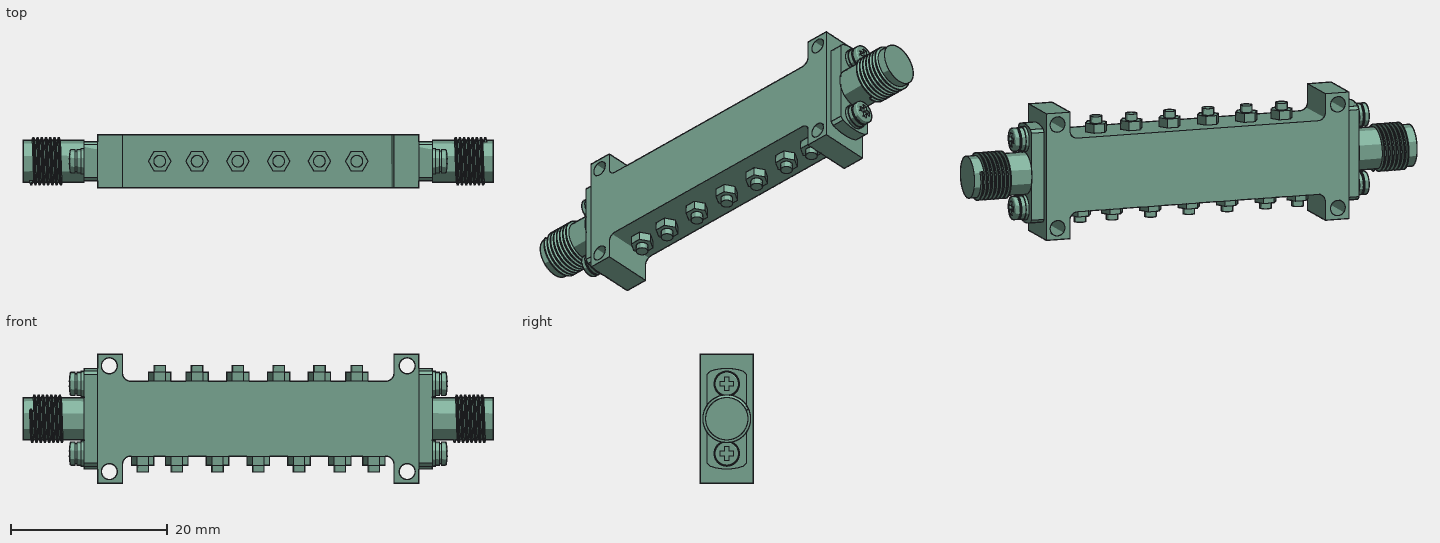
import cadquery as cq
import math


overall_length = 60.0
housing_length = 41.0
housing_depth = 6.8
ear_height = 16.5
ear_length = 3.2
waist_height = 9.6
ear_fillet = 1.0
mounting_hole_diameter = 2.0
mounting_hole_edge = 1.5

tuning_pitch = 5.2
tuning_end_pitch = 4.35
nut_across_flats = 2.5
nut_height = 1.15
tuning_screw_diameter = 1.5
tuning_screw_height = 2.0

flange_thickness = 1.7
flange_width = 5.0
flange_end_radius = 6.42
flange_corner_cut = 0.4
barrel_radius = 2.7
barrel_length = (overall_length - housing_length) / 2 - flange_thickness
thread_radius = 3.05
thread_pitch = 0.54
thread_length = 3.95
thread_end_distance = 1.0
thread_root_width = 0.45
thread_crest_width = 0.12
thread_embed = 0.1

flange_screw_offset = 4.45
washer_radius = 1.62
washer_thickness = 0.4
spring_washer_radius = 1.5
spring_washer_thickness = 0.55
washer_gap_radius = 1.3
washer_gap = 0.2
head_radius = 1.5
head_height = 0.65
head_edge_radius = 0.2
head_dome = 0.13
recess_length = 1.75
recess_width = 0.6
recess_depth = 0.5

housing_end = housing_length / 2
waist_top = waist_height / 2
flange_face = housing_end + flange_thickness
hole_x = housing_end - mounting_hole_edge
hole_z = ear_height / 2 - mounting_hole_edge

bottom_outer = [tuning_pitch, 2 * tuning_pitch, 2 * tuning_pitch + tuning_end_pitch]
bottom_positions = [-x for x in reversed(bottom_outer)] + [0.0] + bottom_outer
top_positions = [(a + b) / 2 for a, b in zip(bottom_positions, bottom_positions[1:])]


def half_turn(body):
    """Carry a body from the +X end to the -X end."""
    return body.rotate((0, 0, 0), (0, 0, 1), 180)


def make_tuning_screw():
    """Hexagonal lock nut with the screw end standing out of it, pointing up from Z = 0."""
    nut_across_corners = nut_across_flats / math.cos(math.pi / 6)
    nut = cq.Workplane("XY").polygon(6, nut_across_corners).extrude(nut_height)
    screw_end = cq.Workplane("XY").circle(tuning_screw_diameter / 2).extrude(tuning_screw_height)
    return nut.union(screw_end)


def make_housing():
    """I-shaped block with four mounting holes and two rows of tuning screws."""
    block = cq.Workplane("XY").box(housing_length, housing_depth, ear_height)
    relief_length = housing_length - 2 * ear_length
    relief_height = (ear_height - waist_height) / 2
    for side in (1, -1):
        relief = (
            cq.Workplane("XY")
            .box(relief_length, housing_depth, 2 * relief_height)
            .edges("|Y")
            .fillet(ear_fillet)
            .translate((0, 0, side * (waist_top + relief_height)))
        )
        block = block.cut(relief)

    holes = (
        cq.Workplane("XZ")
        .rect(2 * hole_x, 2 * hole_z, forConstruction=True)
        .vertices()
        .circle(mounting_hole_diameter / 2)
        .extrude(housing_depth / 2, both=True)
    )
    block = block.cut(holes)

    tuning_screw = make_tuning_screw().translate((0, 0, waist_top))
    hanging_screw = tuning_screw.rotate((0, 0, 0), (1, 0, 0), 180)
    for x in top_positions:
        block = block.union(tuning_screw.translate((x, 0, 0)))
    for x in bottom_positions:
        block = block.union(hanging_screw.translate((x, 0, 0)))
    return block


def make_thread():
    """Helical ridge around the Z axis, rising from Z = 0 and rooted inside the barrel."""
    root_radius = barrel_radius - thread_embed
    path = cq.Wire.makeHelix(thread_pitch, thread_length, root_radius)
    ridge = (
        cq.Workplane("XZ")
        .moveTo(root_radius, -thread_root_width / 2)
        .lineTo(thread_radius, -thread_crest_width / 2)
        .lineTo(thread_radius, thread_crest_width / 2)
        .lineTo(root_radius, thread_root_width / 2)
        .close()
    )
    return ridge.sweep(cq.Workplane(obj=path), isFrenet=True)


def make_connector():
    """Flange with arched ends and cut corners, and a threaded barrel, on the +X end of the housing."""
    half_width = flange_width / 2
    arc_end_y = half_width - flange_corner_cut
    arc_end_z = math.sqrt(flange_end_radius**2 - arc_end_y**2)
    side_end_z = arc_end_z - flange_corner_cut
    flange = (
        cq.Workplane("YZ")
        .workplane(offset=housing_end)
        .moveTo(half_width, -side_end_z)
        .lineTo(half_width, side_end_z)
        .lineTo(arc_end_y, arc_end_z)
        .threePointArc((0, flange_end_radius), (-arc_end_y, arc_end_z))
        .lineTo(-half_width, side_end_z)
        .lineTo(-half_width, -side_end_z)
        .lineTo(-arc_end_y, -arc_end_z)
        .threePointArc((0, -flange_end_radius), (arc_end_y, -arc_end_z))
        .close()
        .extrude(flange_thickness)
    )
    barrel = (
        cq.Workplane("YZ")
        .workplane(offset=flange_face)
        .circle(barrel_radius)
        .extrude(barrel_length)
    )
    thread_start = overall_length / 2 - thread_end_distance - thread_length
    thread = (
        make_thread()
        .rotate((0, 0, 0), (0, 1, 0), 90)
        .translate((thread_start, 0, 0))
    )
    return flange.union(barrel).union(thread)


def make_flange_screw():
    """Cross-recessed domed head with flat and spring washers, on the +X flange at Z = 0."""
    spring_start = washer_thickness
    spring_end = spring_start + spring_washer_thickness
    head_start = spring_end + washer_gap
    head_end = head_start + head_height
    profile = (
        cq.Workplane("XY")
        .moveTo(0, 0)
        .lineTo(0, washer_radius)
        .lineTo(spring_start, washer_radius)
        .lineTo(spring_start, spring_washer_radius)
        .lineTo(spring_end, spring_washer_radius)
        .lineTo(spring_end, washer_gap_radius)
        .lineTo(head_start, washer_gap_radius)
        .lineTo(head_start, head_radius)
        .lineTo(head_end - head_edge_radius, head_radius)
        .radiusArc((head_end, head_radius - head_edge_radius), head_edge_radius)
    )
    dome_base_radius = head_radius - head_edge_radius
    dome_radius = (dome_base_radius**2 + head_dome**2) / (2 * head_dome)
    profile = profile.radiusArc((head_end + head_dome, 0), dome_radius).close()
    screw = profile.revolve(360, (0, 0, 0), (1, 0, 0))

    recess = (
        cq.Workplane("YZ")
        .workplane(offset=head_end + head_dome - recess_depth)
        .rect(recess_length, recess_width)
        .extrude(recess_depth)
    )
    recess = recess.union(recess.rotate((0, 0, 0), (1, 0, 0), 90))
    return screw.cut(recess).translate((flange_face, 0, 0))


connector = make_connector()
housing = make_housing().union(connector)
end_connector = half_turn(connector)

flange_screws = []
for offset in (flange_screw_offset, -flange_screw_offset):
    screw = make_flange_screw().translate((0, 0, offset))
    flange_screws += [screw, half_turn(screw)]

result = cq.Compound.makeCompound(
    [housing.val(), end_connector.val(), *[screw.val() for screw in flange_screws]]
)